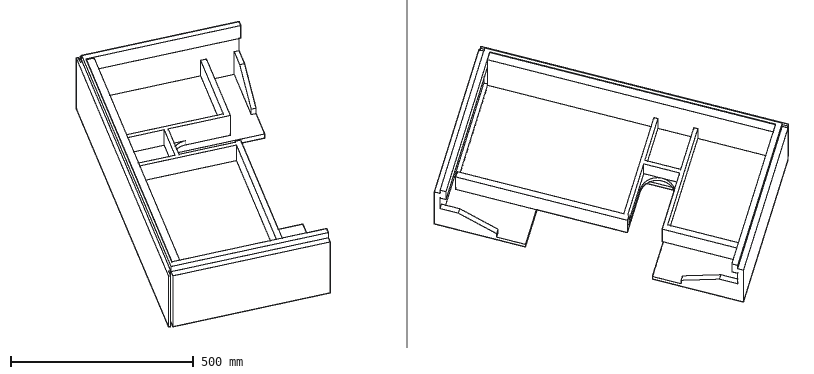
import cadquery as cq

WIDTH = 880.0
DEPTH = 462.0
HEIGHT = 220.0

BOARD = 17.0
PANEL_TOP = 200.0
RAIL_HEIGHT = 49.0
BODY_FRONT = 11.0
BACKING_THICKNESS = 8.0
FRONT_THICKNESS = 6.0
FRONT_INSET = 3.0
SPACER_INSET = 21.0

DRAWER_BOTTOM = 40.5
DRAWER_FLOOR_THICKNESS = 17.0
DRAWER_WALL_TOP = 118.0
DRAWER_FRONT_TOP = 216.5
DRAWER_FRONT_THICKNESS = 23.0
DRAWER_REAR = 363.0
DIVIDER = 11.0
LEFT_BAY_END = 260.0
MIDDLE_BAY_WIDTH = 102.0
CROSS_REAR = 186.0

SLOT_WIDTH = 99.0

BRACKET_THICKNESS = 14.0
BRACKET_TOP = 106.0
BRACKET_TIP_TOP = 38.0
BRACKET_SLOPE_START = 69.0
BRACKET_TIP = 178.0

RAIL_BOTTOM = HEIGHT - RAIL_HEIGHT
INNER_SIDE = 2 * BOARD
BACKING_REAR = BODY_FRONT + BACKING_THICKNESS
DRAWER_FRONT_REAR = BACKING_REAR + DRAWER_FRONT_THICKNESS
DRAWER_FLOOR_TOP = DRAWER_BOTTOM + DRAWER_FLOOR_THICKNESS
MIDDLE_BAY_END = LEFT_BAY_END + MIDDLE_BAY_WIDTH
SLOT_END = LEFT_BAY_END + SLOT_WIDTH


def block(x0, x1, y0, y1, z0, z1):
    """Axis-aligned box between two opposite corners."""
    return cq.Workplane("XY").box(x1 - x0, y1 - y0, z1 - z0, centered=False).translate((x0, y0, z0))


def mirrored(shape):
    """The shape together with its mirror image across the cabinet's middle."""
    return shape.union(shape.mirror("YZ", (WIDTH / 2, 0, 0)))


def side():
    """Left side panel and top rail."""
    panel = block(0, BOARD, BODY_FRONT, DEPTH, 0, PANEL_TOP)
    rail = block(BOARD, INNER_SIDE, BODY_FRONT, DEPTH, RAIL_BOTTOM, HEIGHT)
    return panel.union(rail)


def bracket():
    """Left rear bracket plate with a sloping top."""
    return (
        cq.Workplane("XZ", origin=(0, DEPTH, 0))
        .moveTo(BOARD, 0)
        .lineTo(BRACKET_TIP, 0)
        .lineTo(BRACKET_TIP, BRACKET_TIP_TOP)
        .lineTo(BRACKET_SLOPE_START, BRACKET_TOP)
        .lineTo(BOARD, BRACKET_TOP)
        .close()
        .extrude(BRACKET_THICKNESS)
    )


def cabinet_floor():
    """Floor with a wide rear notch centred across the cabinet."""
    floor = block(BOARD, WIDTH - BOARD, BODY_FRONT, DEPTH, 0, BOARD)
    notch = block(LEFT_BAY_END, WIDTH - LEFT_BAY_END, CROSS_REAR, DEPTH, 0, BOARD)
    return floor.cut(notch)


def front():
    """Front panel on a spacer, with the backing board behind it."""
    panel = block(FRONT_INSET, WIDTH - FRONT_INSET, 0, FRONT_THICKNESS, 0, PANEL_TOP)
    spacer = block(SPACER_INSET, WIDTH - SPACER_INSET, FRONT_THICKNESS, BODY_FRONT, 0, PANEL_TOP)
    backing = block(BOARD, WIDTH - BOARD, BODY_FRONT, BACKING_REAR, 0, HEIGHT)
    return panel.union(spacer).union(backing)


def pipe_slot():
    """Cutter for the round-ended slot, open to the rear."""
    radius = SLOT_WIDTH / 2
    centre_x = LEFT_BAY_END + radius
    arc_y = CROSS_REAR + radius
    return (
        cq.Workplane("XY", origin=(0, 0, DRAWER_BOTTOM))
        .moveTo(LEFT_BAY_END, DRAWER_REAR)
        .lineTo(LEFT_BAY_END, arc_y)
        .threePointArc((centre_x, CROSS_REAR), (SLOT_END, arc_y))
        .lineTo(SLOT_END, DRAWER_REAR)
        .close()
        .extrude(DRAWER_WALL_TOP - DRAWER_BOTTOM)
    )


def drawer():
    """Drawer with three bays around the pipe slot, clear of the side panels."""
    right = WIDTH - INNER_SIDE
    floor = block(INNER_SIDE, right, BACKING_REAR, DRAWER_REAR, DRAWER_BOTTOM, DRAWER_FLOOR_TOP)
    front_board = block(
        INNER_SIDE, right, BACKING_REAR, DRAWER_FRONT_REAR, DRAWER_BOTTOM, DRAWER_FRONT_TOP
    )

    def wall(x0, x1, y0, y1):
        return block(x0, x1, y0, y1, DRAWER_FLOOR_TOP, DRAWER_WALL_TOP)

    back = wall(INNER_SIDE, right, DRAWER_REAR - BOARD, DRAWER_REAR)
    left_divider = wall(LEFT_BAY_END - DIVIDER, LEFT_BAY_END, DRAWER_FRONT_REAR, DRAWER_REAR)
    right_divider = wall(MIDDLE_BAY_END, MIDDLE_BAY_END + DIVIDER, DRAWER_FRONT_REAR, DRAWER_REAR)
    cross_divider = wall(LEFT_BAY_END, MIDDLE_BAY_END, CROSS_REAR - DIVIDER, CROSS_REAR)

    body = floor.union(front_board).union(back)
    body = body.union(left_divider).union(right_divider).union(cross_divider)
    return body.cut(pipe_slot())


result = mirrored(side().union(bracket()))
for part in (cabinet_floor(), front(), drawer()):
    result = result.union(part)